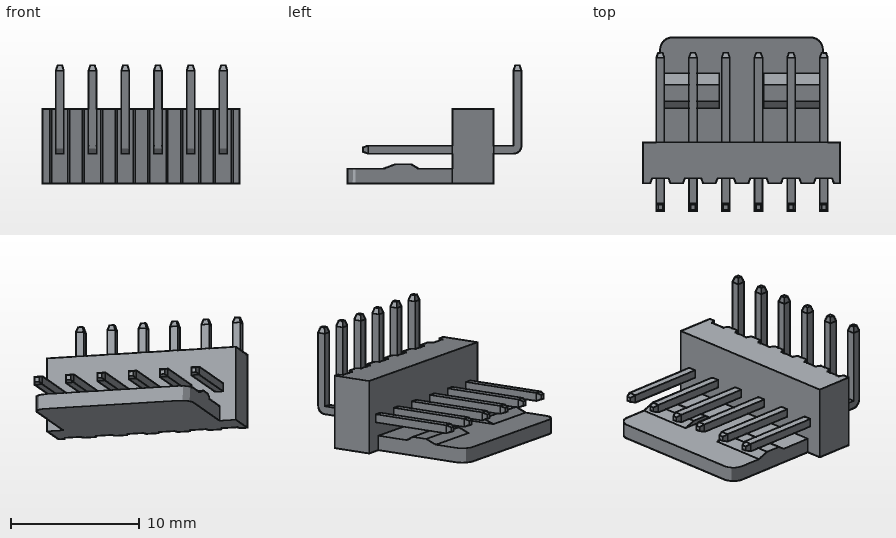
import cadquery as cq

TOTAL_DEPTH = 13.53
TOTAL_HEIGHT = 9.2

HOUSING_WIDTH = 15.3
HOUSING_DEPTH = 3.2
HOUSING_HEIGHT = 5.8

PIN_COUNT = 6
PIN_PITCH = 2.54
PIN_ROW_OFFSET = 0.05
PIN_SIZE = 0.65
PIN_BOTTOM = 2.31
PIN_REACH = 2.17
TIP_SIZE = 0.35
CONTACT_TIP_LENGTH = 0.4
TAIL_TIP_LENGTH = 0.45
BEND_RADIUS = 0.63

GROOVE_MOUTH = 1.56
GROOVE_FLOOR = 1.25
GROOVE_DEPTH = 0.4

PLATE_WIDTH = 12.67
PLATE_THICKNESS = 1.16
PLATE_CORNER_RADIUS = 1.0
PLATE_END = TOTAL_DEPTH - PIN_REACH
CONTACT_SETBACK = 1.21

RAMP_WIDTH = 4.59
RAMP_HEIGHT = 0.34
RAMP_START = 5.83
RAMP_TOP_START = 6.4
RAMP_TOP_END = 7.65
RAMP_END = 8.55

PIN_POSITIONS = [
    PIN_ROW_OFFSET + (i - (PIN_COUNT - 1) / 2) * PIN_PITCH for i in range(PIN_COUNT)
]


def make_housing():
    """Block with a trapezoidal groove down its front at every pin."""
    housing = cq.Workplane("XY").box(
        HOUSING_WIDTH, HOUSING_DEPTH, HOUSING_HEIGHT, centered=(True, False, False)
    )
    for x in PIN_POSITIONS:
        groove = (
            cq.Workplane("XY")
            .polyline([
                (x - GROOVE_MOUTH / 2, 0),
                (x + GROOVE_MOUTH / 2, 0),
                (x + GROOVE_FLOOR / 2, GROOVE_DEPTH),
                (x - GROOVE_FLOOR / 2, GROOVE_DEPTH),
            ])
            .close()
            .extrude(HOUSING_HEIGHT)
        )
        housing = housing.cut(groove)
    return housing


def make_plate():
    """Flat plate with rounded rear corners, rooted inside the housing."""
    plate_root = HOUSING_DEPTH / 2
    return (
        cq.Workplane("XY", origin=(0, plate_root, 0))
        .box(PLATE_WIDTH, PLATE_END - plate_root, PLATE_THICKNESS, centered=(True, False, False))
        .faces(">Y")
        .edges("|Z")
        .fillet(PLATE_CORNER_RADIUS)
    )


def make_ramp(x_start):
    """Trapezoidal locking ramp whose lower X side is at x_start."""
    return (
        cq.Workplane("YZ", origin=(x_start, 0, PLATE_THICKNESS))
        .polyline([
            (RAMP_START, 0),
            (RAMP_TOP_START, RAMP_HEIGHT),
            (RAMP_TOP_END, RAMP_HEIGHT),
            (RAMP_END, 0),
        ])
        .close()
        .extrude(RAMP_WIDTH)
    )


def make_tip(base_plane, length):
    """Truncated pyramid that ends a pin leg."""
    return (
        base_plane.rect(PIN_SIZE, PIN_SIZE)
        .workplane(offset=length)
        .rect(TIP_SIZE, TIP_SIZE)
        .loft(ruled=True)
    )


def make_pin():
    """Right-angle pin centred on X = 0."""
    contact_end = PLATE_END - CONTACT_SETBACK - CONTACT_TIP_LENGTH
    tail_end = TOTAL_HEIGHT - TAIL_TIP_LENGTH
    pin_top = PIN_BOTTOM + PIN_SIZE
    pin = (
        cq.Workplane("YZ", origin=(-PIN_SIZE / 2, 0, 0))
        .polyline([
            (-PIN_REACH, PIN_BOTTOM),
            (contact_end, PIN_BOTTOM),
            (contact_end, pin_top),
            (PIN_SIZE - PIN_REACH, pin_top),
            (PIN_SIZE - PIN_REACH, tail_end),
            (-PIN_REACH, tail_end),
        ])
        .close()
        .extrude(PIN_SIZE)
        .faces("<Z")
        .edges("<Y")
        .fillet(BEND_RADIUS)
    )
    contact_base = cq.Workplane(
        cq.Plane((0, contact_end, PIN_BOTTOM + PIN_SIZE / 2), xDir=(1, 0, 0), normal=(0, 1, 0))
    )
    tail_base = cq.Workplane("XY", origin=(0, PIN_SIZE / 2 - PIN_REACH, tail_end))
    contact_tip = make_tip(contact_base, CONTACT_TIP_LENGTH)
    tail_tip = make_tip(tail_base, TAIL_TIP_LENGTH)
    return pin.union(contact_tip).union(tail_tip)


result = make_housing().union(make_plate())

for ramp_x in (-PLATE_WIDTH / 2, PLATE_WIDTH / 2 - RAMP_WIDTH):
    result = result.union(make_ramp(ramp_x))

single_pin = make_pin()
for pin_x in PIN_POSITIONS:
    result = result.union(single_pin.translate((pin_x, 0, 0)))